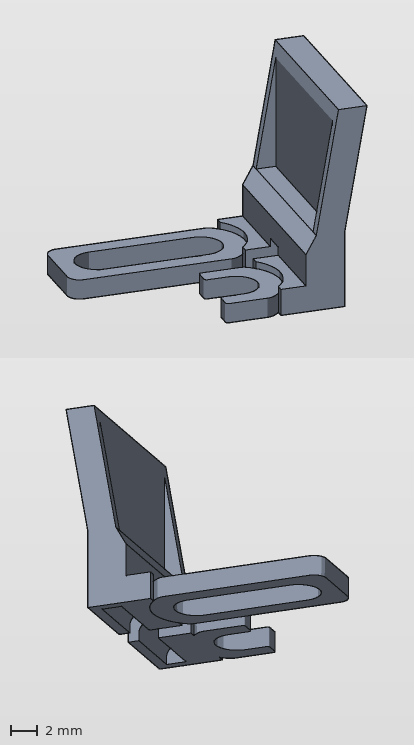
import cadquery as cq
import math

width = 14.1
total_depth = 20.63
total_height = 16.1
lean_angle = math.radians(10)

bend_height = 6.1
wall_thickness = 2.27
base_depth = 3.1
knee_height = 4.66
pad_front = 5.07
pad_height = 2.12
notch_height = 2.79

channel_y = -1.65
channel_radius = 0.78
channel_side_height = 0.62

end_wall = 0.72
pocket_top = 14.94

foot_width = 6.17
foot_thickness = 1.57
foot_eye_y = -7.53
foot_outer_radius = 3.5
foot_inner_radius = 1.71
corner_radius = 1.0
slot_end_y = -15.76
hook_end_y = -9.4
hook_tip_radius = 0.2

foot_x = (width - foot_width) / 2
notch_width = width - 2 * foot_width


def lean(height):
    """Y shift of the leaning wall at a height above the bend."""
    return (height - bend_height) * math.tan(lean_angle)


slotted_foot_end_y = lean(total_height) - total_depth


def extrude_across(points, length):
    """Extrude a (Y, Z) outline along X, centred on X = 0."""
    return cq.Workplane("YZ").polyline(points).close().extrude(length / 2, both=True)


def foot_blank(x, end_y):
    """Plate with a rounded rear end, open to its straight far end."""
    length = foot_eye_y + foot_outer_radius - end_y
    plate = (
        cq.Workplane("XY")
        .center(x, end_y + length / 2)
        .rect(foot_width, length)
        .extrude(foot_thickness)
    )
    rear_disc = cq.Workplane("XY").center(x, foot_eye_y).circle(foot_outer_radius).extrude(foot_thickness)
    front_plate = (
        cq.Workplane("XY")
        .center(x, (end_y + foot_eye_y) / 2)
        .rect(foot_width, foot_eye_y - end_y)
        .extrude(foot_thickness)
    )
    blank = plate.intersect(rear_disc.union(front_plate))
    corner_y = foot_eye_y + math.sqrt(foot_outer_radius**2 - (foot_width / 2) ** 2)
    for side in (-1, 1):
        corner = (x + side * foot_width / 2, corner_y, foot_thickness / 2)
        blank = blank.edges(cq.selectors.NearestToPointSelector(corner)).fillet(corner_radius)
    return blank


def slot_cutter(x, end_y):
    """Round-ended slot from the rear eye to a far end centre."""
    length = foot_eye_y - end_y
    return (
        cq.Workplane("XY")
        .center(x, (foot_eye_y + end_y) / 2)
        .slot2D(length + 2 * foot_inner_radius, 2 * foot_inner_radius, 90)
        .extrude(foot_thickness)
    )


def make_slotted_foot(x):
    """Long foot with a closed adjustment slot."""
    blank = foot_blank(x, slotted_foot_end_y).edges("|Z and <Y").fillet(corner_radius)
    return blank.cut(slot_cutter(x, slot_end_y))


def make_hook_foot(x):
    """Short foot whose slot runs out of its far end."""
    hook = foot_blank(x, hook_end_y).cut(slot_cutter(x, slot_end_y))
    return hook.faces("<Y").edges("|Z").fillet(hook_tip_radius)


def channel_cutter():
    """Straight-sided channel with a half-round roof."""
    front_y = channel_y - channel_radius
    rear_y = channel_y + channel_radius
    return (
        cq.Workplane("YZ")
        .moveTo(front_y, 0)
        .lineTo(front_y, channel_side_height)
        .threePointArc((channel_y, channel_side_height + channel_radius), (rear_y, channel_side_height))
        .lineTo(rear_y, 0)
        .close()
        .extrude(width / 2 - end_wall, both=True)
    )


def make_bracket():
    """Leaning wall on a base with two pads, each recessed for a foot."""
    body = extrude_across(
        [
            (0, 0),
            (0, bend_height),
            (lean(total_height), total_height),
            (lean(total_height) - wall_thickness, total_height),
            (-wall_thickness, bend_height),
            (-base_depth, knee_height),
            (-base_depth, pad_height),
            (-pad_front, pad_height),
            (-pad_front, 0),
        ],
        width,
    )
    pocket_floor_y = lean(pocket_top) - wall_thickness
    pocket = extrude_across(
        [
            (-wall_thickness, bend_height),
            (pocket_floor_y, bend_height),
            (pocket_floor_y, pocket_top),
        ],
        width - 2 * end_wall,
    )
    notch = cq.Workplane("XY").box(notch_width, 2 * pad_front, 2 * notch_height)
    body = body.cut(pocket).cut(notch).cut(channel_cutter())
    for x in (-foot_x, foot_x):
        recess = cq.Workplane("XY").center(x, foot_eye_y).circle(foot_outer_radius).extrude(pad_height)
        body = body.cut(recess)
    return body


slotted_foot = make_slotted_foot(-foot_x)

bracket = make_bracket().union(make_hook_foot(foot_x))

result = cq.Compound.makeCompound([bracket.val(), slotted_foot.val()])